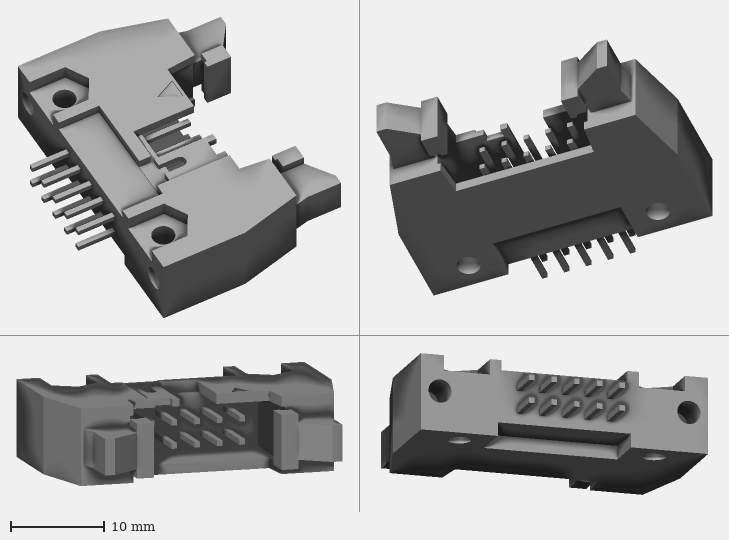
import cadquery as cq


width = 32.3
height = 8.5
shoulder_y = 10.0
tower_y = 17.35
mouth_y = 13.82
tower_outer_x = 14.2
tower_inner_x = 8.3
mouth_half_width = 7.98
mid_z = -height / 2

wall = 1.13
cavity_width = 17.38
cavity_floor_y = 7.43

recess_length = 4.95
top_recess_width = 14.1
top_recess_depth = wall
bottom_recess_width = 15.0
bottom_recess_depth = 1.52

key_left_x = -2.1
key_right_x = 2.07
key_start_y = 6.4
tongue_right_x = 5.78
tongue_start_y = 6.62
tongue_drop = 0.35
shelf_left_x = 1.85
shelf_depth = 1.03
tongue_slot_x = 3.78
tongue_slot_width = 1.35
tongue_slot_end_y = 9.55
notch_x = 3.8
notch_width = 1.95
notch_length = 1.03

triangle_x = -5.1
triangle_width = 2.52
triangle_base_y = 13.5
triangle_tip_y = 10.98
triangle_depth = 0.15

hole_diameter = 2.6
mount_x = 10.95
mount_y = 2.85
nut_width = 5.2
nut_side_y = 4.35
nut_tip_y = 5.85
nut_depth = 1.7
end_hole_x = 14.0
end_hole_z = -4.05
end_hole_depth = 4.85

pin_columns = 5
pin_rows = 2
pin_pitch = 2.54
pin_size = 0.6
pin_tail = 4.5
pin_tip_y = 13.5

latch_height = 4.0
latch_inner_x = 9.05
latch_outer_x = 13.35
latch_tower_x = 13.8
latch_bend_y = 19.22
latch_tip_y = 23.32
latch_tip_x = 12.18
latch_embed = 1.6
hook_height = 6.0
hook_inner_x = 7.15
hook_end_y = 21.15
hook_start_y = 18.57
barb_y = 18.25
barb_x = 7.85


def block(x0, x1, y0, y1, z0, z1):
    """Box between two opposite corners."""
    return cq.Workplane("XY").box(x1 - x0, y1 - y0, z1 - z0, centered=False).translate((x0, y0, z0))


def plate(points, z0, z1):
    """Straight-sided outline in XY, extruded from z0 to z1."""
    return cq.Workplane("XY").workplane(offset=z0).polyline(points).close().extrude(z1 - z0)


def both_sides(shape):
    """The shape together with its mirror image across X = 0."""
    return shape.union(shape.mirror("YZ"))


def housing():
    right_side = [
        (width / 2, 0),
        (width / 2, shoulder_y),
        (tower_outer_x, tower_y),
        (tower_inner_x, tower_y),
        (mouth_half_width, mouth_y),
    ]
    left_side = [(-x, y) for x, y in reversed(right_side)]
    body = plate(right_side + left_side, -height, 0)
    cavity = block(
        -cavity_width / 2, cavity_width / 2, cavity_floor_y, tower_y, wall - height, -wall
    )
    return body.cut(cavity)


def pin_side_recesses():
    top_half = top_recess_width / 2
    bottom_half = bottom_recess_width / 2
    top = block(-top_half, top_half, 0, recess_length, -top_recess_depth, 0)
    bottom = block(-bottom_half, bottom_half, 0, recess_length, -height, bottom_recess_depth - height)
    return top.union(bottom)


def key_cutouts():
    key_slot = block(key_left_x, key_right_x, key_start_y, mouth_y, -wall, 0)
    tongue_step = block(key_right_x, tongue_right_x, tongue_start_y, mouth_y, -tongue_drop, 0)
    shelf = block(shelf_left_x, tongue_right_x, recess_length, tongue_start_y, -shelf_depth, 0)
    return key_slot.union(tongue_step).union(shelf)


def tongue_cutouts():
    """Round-ended slot from the shelf into the tongue, and a notch in its free edge."""
    radius = tongue_slot_width / 2
    left = tongue_slot_x - radius
    right = tongue_slot_x + radius
    centre_y = tongue_slot_end_y - radius
    slot = (
        cq.Workplane("XY")
        .moveTo(left, tongue_start_y)
        .lineTo(right, tongue_start_y)
        .lineTo(right, centre_y)
        .threePointArc((tongue_slot_x, tongue_slot_end_y), (left, centre_y))
        .close()
        .extrude(-wall)
    )
    slot = slot.cut(block(left, right, tongue_start_y, cavity_floor_y, -wall, -shelf_depth))
    notch_left = notch_x - notch_width / 2
    notch = block(notch_left, notch_left + notch_width, mouth_y - notch_length, mouth_y, -wall, 0)
    return slot.union(notch)


def pin_one_mark():
    half = triangle_width / 2
    points = [
        (triangle_x - half, triangle_base_y),
        (triangle_x + half, triangle_base_y),
        (triangle_x, triangle_tip_y),
    ]
    return plate(points, -triangle_depth, 0)


def mounting_cutouts():
    half = nut_width / 2
    pocket_points = [
        (mount_x - half, 0),
        (mount_x + half, 0),
        (mount_x + half, nut_side_y),
        (mount_x, nut_tip_y),
        (mount_x - half, nut_side_y),
    ]
    pocket = plate(pocket_points, -nut_depth, 0)
    through_hole = cq.Workplane("XY").center(mount_x, mount_y).circle(hole_diameter / 2).extrude(-height)
    end_hole = (
        cq.Workplane("XZ")
        .center(end_hole_x, end_hole_z)
        .circle(hole_diameter / 2)
        .extrude(-end_hole_depth)
    )
    return both_sides(pocket.union(through_hole).union(end_hole))


def pins():
    length = pin_tail + pin_tip_y
    return (
        cq.Workplane("XZ", origin=(0, pin_tip_y, mid_z))
        .rarray(pin_pitch, pin_pitch, pin_columns, pin_rows)
        .rect(pin_size, pin_size)
        .extrude(length)
    )


def latches():
    arm_points = [
        (latch_inner_x, tower_y - latch_embed),
        (latch_tower_x, tower_y - latch_embed),
        (latch_tower_x, tower_y),
        (latch_outer_x, latch_bend_y),
        (latch_outer_x, latch_tip_y),
        (latch_tip_x, latch_tip_y),
        (latch_inner_x, hook_end_y),
    ]
    hook_points = [
        (latch_inner_x, hook_start_y),
        (latch_inner_x, hook_end_y),
        (hook_inner_x, hook_end_y),
        (hook_inner_x, barb_y),
        (barb_x, barb_y),
        (barb_x, hook_start_y),
    ]
    arm = plate(arm_points, mid_z - latch_height / 2, mid_z + latch_height / 2)
    hook = plate(hook_points, mid_z - hook_height / 2, mid_z + hook_height / 2)
    return both_sides(arm.union(hook))


result = (
    housing()
    .cut(pin_side_recesses())
    .cut(key_cutouts())
    .cut(tongue_cutouts())
    .cut(pin_one_mark())
    .cut(mounting_cutouts())
    .union(pins())
    .union(latches())
)